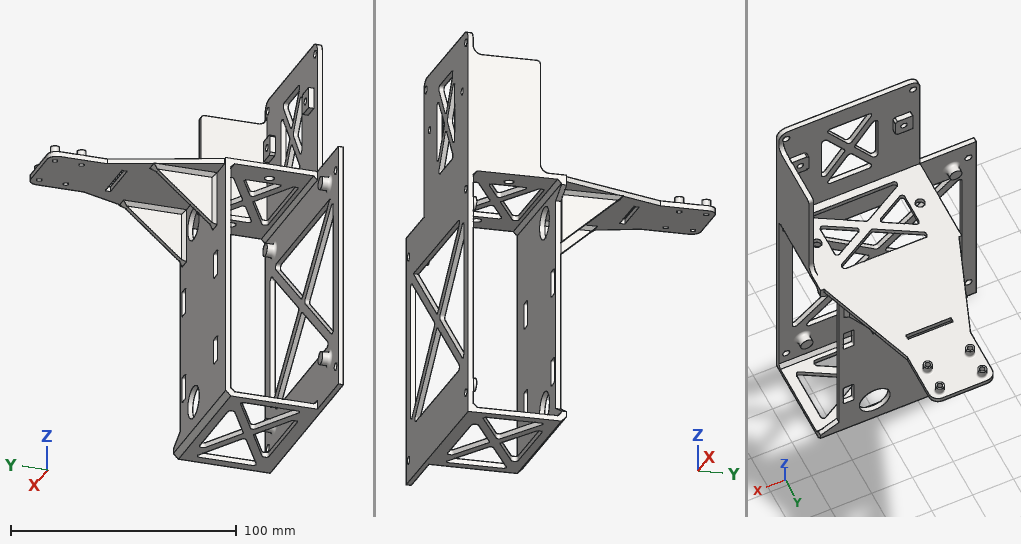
import cadquery as cq
import math

WIDTH = 96.79
DEPTH = 121.0
HEIGHT = 180.71
SHEET = 2.4
BAY_LEFT = 27.6
SHELF_TOP = 116.5
BAY_DEPTH = 45.5
CENTER_X = 62.0
CORNER_CHAMFER = 1.8

BAY_WIDTH = WIDTH - BAY_LEFT
SHELF_BOTTOM = SHELF_TOP - SHEET
WALL_FRONT = BAY_DEPTH - SHEET

PLATE_CORNER_RADIUS = 5.0
PLATE_HOLE_DIAMETER = 3.4
LEFT_HOLE_X = 3.8
RIGHT_HOLE_X = 93.1
PLATE_HOLES = [
    (30.9, 175.5), (RIGHT_HOLE_X, 175.5),
    (LEFT_HOLE_X, 106.3), (RIGHT_HOLE_X, 106.3),
    (LEFT_HOLE_X, 10.2), (RIGHT_HOLE_X, 10.2),
]
UPPER_WINDOW = {"center": (CENTER_X, 149.0), "size": (27.6, 41.8)}
UPPER_BAR_WIDTH = 3.5
UPPER_BAR_SLOPE = 1.47
LOWER_WINDOW = {"center": (48.45, 60.1), "size": (83.1, 71.1)}
LOWER_BAR_WIDTH = 4.4
LOWER_BAR_SLOPE = 0.88
PLATE_WINDOW_RADIUS = 1.5

PAD_WIDTH = 8.6
PAD_HEIGHT = 9.9
PAD_THICKNESS = 2.5
PAD_CHAMFER = 1.1
PAD_HOLE_DIAMETER = 3.0
PAD_SPACING = 50.8
PAD_Z = 154.5

BOARD_BOSS_DIAMETER = 6.0
BOARD_BOSS_FILLET = 1.5
BOARD_BOSS_X = (12.0, 85.0)
BOARD_BOSS_Z = (17.4, 103.2)
BOSS_HEIGHT = 4.2

TIP_WIDTH = 31.0
TIP_START = 94.4
TIP_RADIUS = 4.5
TAPER_BASE_WIDTH = 66.2
SHELF_SLOT = (22.0, 2.4)
SHELF_SLOT_Y = 84.7
SHELF_BOSS_DIAMETER = 4.0
SHELF_BOSS_FILLET = 1.0
SHELF_BOSS_HOLE = 2.4
SHELF_BOSS_SPACING = (20.8, 12.5)
SHELF_BOSS_CENTER_Y = 110.9

SHELF_WINDOW_WIDTH = 41.3
BAY_WINDOW_FRONT = 6.3
SHELF_WINDOW_REAR = 39.5
FLOOR_WINDOW_REAR = 38.9
FLOOR_WINDOW_WIDTH = 39.8
FLOOR_SIDE_SPAN = 59.5
FLOOR_SIDE_DEPTH = 48.0
BAY_BAR_WIDTH = 4.0
BAY_BAR_SLOPE = 0.57
BAY_WINDOW_RADIUS = 1.3
BAY_HOLE_DIAMETER = 4.4
BAY_HOLE_SPACING = 50.6
BAY_HOLE_Y = 21.7

WALL_SLOT = (5.2, 12.0)
WALL_SLOT_SPACING = (42.0, 42.0)
WALL_SLOT_CENTER_Z = 49.2
WALL_SLOT_RADIUS = 0.8
CABLE_HOLE_DIAMETER = 15.0
CABLE_HOLES = [(70.2, 15.7), (70.2, 103.0)]
NOTCH_X = 87.7
NOTCH_EDGE_MARGIN = 4.7
NOTCH_DEEP_MARGIN = 9.2

FLANGE_DEPTH = 33.4
FLANGE_TOP = 169.3
FLANGE_BLEND = 4.0
FLANGE_CORNER_RADIUS = 1.8

GUSSET_REACH = 75.1
GUSSET_FOOT = 88.6
GUSSET_SPACING = 40.4


def box(x_range, y_range, z_range):
    """Axis-aligned box between the given limits."""
    size = [high - low for low, high in (x_range, y_range, z_range)]
    corner = (x_range[0], y_range[0], z_range[0])
    return cq.Workplane("XY").box(*size, centered=False).translate(corner)


def facing_rear(y):
    """Workplane at depth y, drawn in (X, Z); extrude a negative length to go rearward."""
    return cq.Workplane("XZ", origin=(0, y, 0))


def side_prism(points, x_start, length):
    """Prism along +X with its outline in (Y, Z)."""
    return cq.Workplane("YZ", origin=(x_start, 0, 0)).polyline(points).close().extrude(length)


def lattice_cutter(plane, center, size, bar_width, bar_slope, radius, depth, sharp_corner=None):
    """Rectangular window crossed by an X of bars, with rounded corners."""
    window = plane.center(*center).rect(*size).extrude(depth)
    bar_length = 2 * math.hypot(*size)
    bar_angle = math.degrees(math.atan(bar_slope))
    for angle in (bar_angle, -bar_angle):
        bar = plane.center(*center).transformed(rotate=(0, 0, angle)).rect(bar_length, bar_width)
        window = window.cut(bar.extrude(depth))
    corners = window.edges(cq.selectors.ParallelDirSelector(plane.plane.zDir))
    if sharp_corner is not None:
        kept_sharp = corners.edges(cq.selectors.NearestToPointSelector(sharp_corner)).val()
        corners = corners.filter(lambda edge: not edge.isSame(kept_sharp))
    return corners.newObject(corners.vals()).fillet(radius)


def make_front_plate():
    outline = [
        (0, 0), (WIDTH, 0), (WIDTH, HEIGHT), (BAY_LEFT, HEIGHT), (BAY_LEFT, SHELF_TOP), (0, SHELF_TOP),
    ]
    plate = facing_rear(0).polyline(outline).close().extrude(-SHEET)
    return plate.edges("|Y and >Z").fillet(PLATE_CORNER_RADIUS)


def cut_front_plate(body):
    holes = facing_rear(0).pushPoints(PLATE_HOLES).circle(PLATE_HOLE_DIAMETER / 2).extrude(-SHEET)
    upper = lattice_cutter(
        facing_rear(0), UPPER_WINDOW["center"], UPPER_WINDOW["size"],
        UPPER_BAR_WIDTH, UPPER_BAR_SLOPE, PLATE_WINDOW_RADIUS, -SHEET,
    )
    center_x, center_z = LOWER_WINDOW["center"]
    height = LOWER_WINDOW["size"][1]
    bar_half_rise = LOWER_BAR_WIDTH / 2 * math.hypot(1, LOWER_BAR_SLOPE)
    corner_x = center_x - (height / 2 - bar_half_rise) / LOWER_BAR_SLOPE
    lower = lattice_cutter(
        facing_rear(0), LOWER_WINDOW["center"], LOWER_WINDOW["size"],
        LOWER_BAR_WIDTH, LOWER_BAR_SLOPE, PLATE_WINDOW_RADIUS, -SHEET,
        sharp_corner=(corner_x, SHEET / 2, center_z + height / 2),
    )
    return body.cut(holes).cut(upper).cut(lower)


def make_shelf():
    tip_left = CENTER_X - TIP_WIDTH / 2
    tip_right = CENTER_X + TIP_WIDTH / 2
    outline = [
        (BAY_LEFT, 0), (WIDTH, 0), (WIDTH, BAY_DEPTH),
        (CENTER_X + TAPER_BASE_WIDTH / 2, BAY_DEPTH),
        (tip_right, TIP_START), (tip_right, DEPTH),
        (tip_left, DEPTH), (tip_left, TIP_START),
        (CENTER_X - TAPER_BASE_WIDTH / 2, BAY_DEPTH), (BAY_LEFT, BAY_DEPTH),
    ]
    shelf = cq.Workplane("XY", origin=(0, 0, SHELF_BOTTOM)).polyline(outline).close().extrude(SHEET)
    shelf = shelf.edges("|Z and >Y").fillet(TIP_RADIUS)
    slot = cq.Workplane("XY", origin=(CENTER_X, SHELF_SLOT_Y, SHELF_BOTTOM)).rect(*SHELF_SLOT)
    return shelf.cut(slot.extrude(SHEET))


def make_boss(diameter, fillet):
    """Round boss standing on Z = 0 with a concave flare at its foot."""
    radius = diameter / 2
    profile = (
        cq.Workplane("XZ").moveTo(0, 0).lineTo(radius + fillet, 0)
        .radiusArc((radius, fillet), fillet)
        .lineTo(radius, BOSS_HEIGHT).lineTo(0, BOSS_HEIGHT).close()
    )
    return profile.revolve(360, (0, 0, 0), (0, 1, 0))


def add_shelf_bosses(body):
    spots = (
        cq.Workplane("XY", origin=(CENTER_X, SHELF_BOSS_CENTER_Y, SHELF_BOTTOM))
        .rarray(*SHELF_BOSS_SPACING, 2, 2)
    )
    holes = spots.circle(SHELF_BOSS_HOLE / 2).extrude(SHEET + BOSS_HEIGHT)
    boss = make_boss(SHELF_BOSS_DIAMETER, SHELF_BOSS_FILLET)
    for spot in spots.vals():
        body = body.union(boss.translate((spot.x, spot.y, SHELF_TOP)))
    return body.cut(holes)


def add_board_bosses(body):
    boss = make_boss(BOARD_BOSS_DIAMETER, BOARD_BOSS_FILLET).rotate((0, 0, 0), (1, 0, 0), -90)
    for x in BOARD_BOSS_X:
        for z in BOARD_BOSS_Z:
            body = body.union(boss.translate((x, SHEET, z)))
    return body


def add_pads(body):
    for side in (-1, 1):
        x = CENTER_X + side * PAD_SPACING / 2
        inner_side = "<X" if side > 0 else ">X"
        pad = facing_rear(SHEET).center(x, PAD_Z).rect(PAD_WIDTH, PAD_HEIGHT).extrude(-PAD_THICKNESS)
        pad = pad.edges("|Y and " + inner_side).chamfer(PAD_CHAMFER)
        hole = facing_rear(0).center(x, PAD_Z).circle(PAD_HOLE_DIAMETER / 2)
        body = body.union(pad).cut(hole.extrude(-SHEET - PAD_THICKNESS))
    return body


def make_back_wall():
    wall = box((BAY_LEFT, WIDTH), (WALL_FRONT, BAY_DEPTH), (0, SHELF_TOP))
    notch = [
        (WIDTH, NOTCH_EDGE_MARGIN), (NOTCH_X, NOTCH_DEEP_MARGIN),
        (NOTCH_X, SHELF_TOP - NOTCH_DEEP_MARGIN), (WIDTH, SHELF_TOP - NOTCH_EDGE_MARGIN),
    ]
    slots = (
        facing_rear(WALL_FRONT).center(CENTER_X, WALL_SLOT_CENTER_Z)
        .rarray(*WALL_SLOT_SPACING, 2, 2).rect(*WALL_SLOT).extrude(-SHEET)
        .edges("|Y").fillet(WALL_SLOT_RADIUS)
    )
    cable_holes = facing_rear(WALL_FRONT).pushPoints(CABLE_HOLES).circle(CABLE_HOLE_DIAMETER / 2)
    wall = wall.cut(facing_rear(WALL_FRONT).polyline(notch).close().extrude(-SHEET))
    return wall.cut(slots).cut(cable_holes.extrude(-SHEET))


def make_floor():
    return box((BAY_LEFT, WIDTH), (0, BAY_DEPTH), (0, SHEET))


def make_inside_corners():
    """Triangular strips along the four inside corners of the bay."""
    strips = cq.Workplane("XY")
    for y, y_step in ((SHEET, CORNER_CHAMFER), (WALL_FRONT, -CORNER_CHAMFER)):
        for z, z_step in ((SHEET, CORNER_CHAMFER), (SHELF_BOTTOM, -CORNER_CHAMFER)):
            strips = strips.add(side_prism([(y, z), (y + y_step, z), (y, z + z_step)], BAY_LEFT, BAY_WIDTH))
    return strips.combine()


def bay_lattice(z, width, center_y, depth):
    """Lattice opening through a sheet whose underside is at height z."""
    return lattice_cutter(
        cq.Workplane("XY", origin=(0, 0, z)), (CENTER_X, center_y), (width, depth),
        BAY_BAR_WIDTH, BAY_BAR_SLOPE, BAY_WINDOW_RADIUS, SHEET,
    )


def cut_shelf_windows(body):
    center_y = (BAY_WINDOW_FRONT + SHELF_WINDOW_REAR) / 2
    lattice = bay_lattice(SHELF_BOTTOM, SHELF_WINDOW_WIDTH, center_y, SHELF_WINDOW_REAR - BAY_WINDOW_FRONT)
    holes = (
        cq.Workplane("XY", origin=(CENTER_X, BAY_HOLE_Y, SHELF_BOTTOM))
        .rarray(BAY_HOLE_SPACING, 1, 2, 1).circle(BAY_HOLE_DIAMETER / 2).extrude(SHEET)
    )
    return body.cut(lattice).cut(holes)


def cut_floor_windows(body):
    """The left and right openings reach further out than the front and rear ones."""
    center_y = (BAY_WINDOW_FRONT + FLOOR_WINDOW_REAR) / 2
    narrow = bay_lattice(0, FLOOR_WINDOW_WIDTH, center_y, FLOOR_WINDOW_REAR - BAY_WINDOW_FRONT)
    wide = bay_lattice(0, FLOOR_SIDE_SPAN, center_y, FLOOR_SIDE_DEPTH)
    for opening in (narrow.solids("<Y or >Y"), wide.solids("<X or >X")):
        body = body.cut(opening)
    return body


def bevel_bottom_rear_edge(body):
    wedge = [(BAY_DEPTH, 0), (BAY_DEPTH - SHEET, 0), (BAY_DEPTH, SHEET)]
    return body.cut(side_prism(wedge, BAY_LEFT, BAY_WIDTH))


def make_side_flange():
    """Upright flange on the right edge, blended into the shelf and the front plate."""
    corner = FLANGE_CORNER_RADIUS
    outline = (
        cq.Workplane("YZ", origin=(WIDTH - SHEET, 0, 0))
        .moveTo(SHEET, SHELF_TOP)
        .lineTo(FLANGE_DEPTH + FLANGE_BLEND, SHELF_TOP)
        .radiusArc((FLANGE_DEPTH, SHELF_TOP + FLANGE_BLEND), FLANGE_BLEND)
        .lineTo(FLANGE_DEPTH, FLANGE_TOP - corner)
        .radiusArc((FLANGE_DEPTH - corner, FLANGE_TOP), -corner)
        .lineTo(SHEET + FLANGE_BLEND, FLANGE_TOP)
        .radiusArc((SHEET, FLANGE_TOP + FLANGE_BLEND), FLANGE_BLEND)
        .close()
    )
    return outline.extrude(SHEET)


def make_gusset(center_x):
    """Triangular web under the shelf with bevelled strips where it meets shelf and wall."""
    half = SHEET / 2
    triangle = [(BAY_DEPTH, SHELF_BOTTOM), (GUSSET_REACH, SHELF_BOTTOM), (BAY_DEPTH, GUSSET_FOOT)]
    wide = half + CORNER_CHAMFER
    web = side_prism(triangle, center_x - half, SHEET)
    envelope = side_prism(triangle, center_x - wide, 2 * wide)
    shelf_strip = (
        facing_rear(BAY_DEPTH)
        .polyline([
            (center_x - wide, SHELF_BOTTOM), (center_x + wide, SHELF_BOTTOM),
            (center_x, SHELF_BOTTOM - wide),
        ]).close().extrude(BAY_DEPTH - GUSSET_REACH)
    )
    wall_strip = (
        cq.Workplane("XY", origin=(0, 0, GUSSET_FOOT))
        .polyline([
            (center_x - wide, BAY_DEPTH), (center_x + wide, BAY_DEPTH),
            (center_x, BAY_DEPTH + wide),
        ]).close().extrude(SHELF_BOTTOM - GUSSET_FOOT)
    )
    return web.union(shelf_strip.union(wall_strip).intersect(envelope))


body = make_front_plate()
for piece in (
    make_shelf(), make_back_wall(), make_floor(), make_inside_corners(), make_side_flange(),
    make_gusset(CENTER_X - GUSSET_SPACING / 2), make_gusset(CENTER_X + GUSSET_SPACING / 2),
):
    body = body.union(piece)
body = cut_front_plate(body)
body = cut_shelf_windows(body)
body = cut_floor_windows(body)
body = bevel_bottom_rear_edge(body)
body = add_shelf_bosses(body)
body = add_board_bosses(body)
body = add_pads(body)

result = body